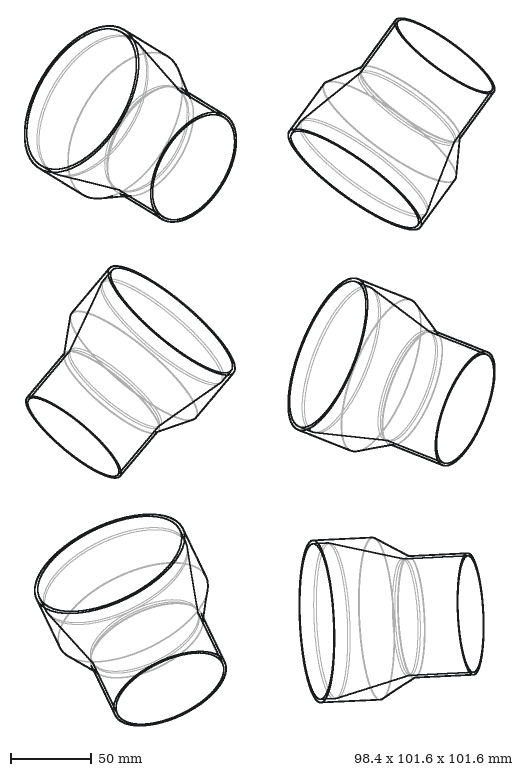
import cadquery as cq

large_outer_diameter = 101.6
large_inner_diameter = 97.38
small_outer_diameter = 76.2
small_inner_diameter = 72.9

overall_length = 98.425
tube_length = 38.1
outer_blend_radius = 1.0

bore_cone_start = 9.525
bore_cone_end = 57.15
bore_blend_radius = 6.35


def reducer_solid(large_diameter, small_diameter, cone_start, cone_end, blend_radius):
    """Solid of revolution along +X: large cylinder, cone, small cylinder, with blended junctions."""
    large_radius = large_diameter / 2
    small_radius = small_diameter / 2
    sharp_body = (
        cq.Workplane("XY")
        .lineTo(0, large_radius)
        .lineTo(cone_start, large_radius)
        .lineTo(cone_end, small_radius)
        .lineTo(overall_length, small_radius)
        .lineTo(overall_length, 0)
        .close()
        .revolve(360, (0, 0, 0), (1, 0, 0))
    )
    junctions = sharp_body.edges("%CIRCLE").edges("not(<X or >X)")
    return sharp_body.newObject(junctions.vals()).fillet(blend_radius)


outer_body = reducer_solid(
    large_outer_diameter,
    small_outer_diameter,
    tube_length,
    overall_length - tube_length,
    outer_blend_radius,
)
bore = reducer_solid(
    large_inner_diameter,
    small_inner_diameter,
    bore_cone_start,
    bore_cone_end,
    bore_blend_radius,
)

result = outer_body.cut(bore)